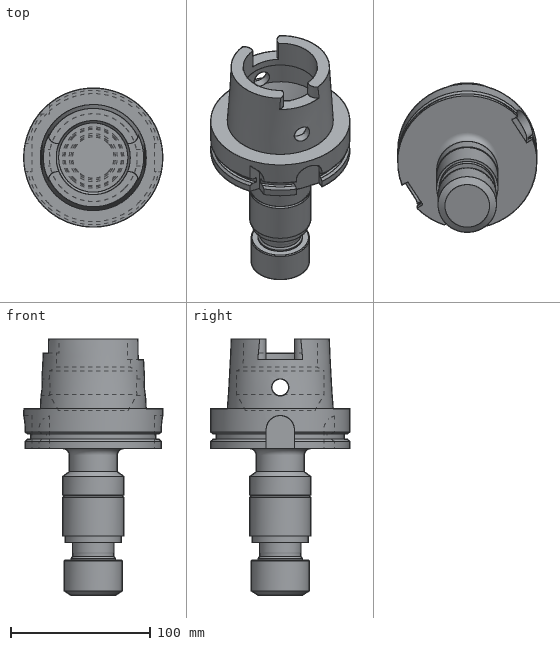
import cadquery as cq

total_height = 183.9
flange_top = 133.9
flange_bottom = 105.2
flange_radius = 99.9 / 2

shank_top_radius = 35.3
shank_base_radius = 38.0

groove_floor_radius = 46.0
groove_shoulder_radius = 48.2
groove_upper_edge = 117.0
groove_top = 115.9
groove_bottom = 112.0
groove_lower_edge = 110.3

neck_radius = 34.5 / 2
neck_fillet = 4.8
collar_radius = 44.0 / 2
collar_cone_top = 88.6
collar_cone_bottom = 85.3
collar_groove_radius = 42.0 / 2
collar_groove_height = 71.2
collar_groove_half_width = 1.0
collar_bottom = 42.5
step_radius = 40.5 / 2
step_bottom = 37.7
stem_radius = 30.0 / 2
stem_bottom = 30.5
relief_radius = 29.6 / 2
relief_top = 29.8
relief_bottom = 28.0
rim_radius = 32.0 / 2
rim_top = 26.5
nut_radius = 42.0 / 2
nut_top = 25.4
nut_top_chamfer = 0.7
nut_chamfer_height = 3.1
nut_nose_radius = 16.0

bore_radius = 53.1 / 2
bore_lip_depth = 20.2
chamber_radius = 63.0 / 2
chamber_top_cone_height = 3.0
chamber_floor_cone_height = 11.5
bore_floor_radius = 24.8
bore_floor_depth = 51.5

slot_width = 20.2
drive_slot_depths = {-1: 10.1, 1: 14.9}
drive_corner_radius = 6.6
drive_face_distance = 32.4

cross_hole_diameter = 12.0
cross_hole_height = 149.1

flange_slot_top = 129.0
flange_slot_floor = 44.0
side_slot_floor = 31.5
side_slot_offset = 31.3 + slot_width / 2


def make_body():
    groove_half = collar_groove_half_width
    return (
        cq.Workplane("XZ")
        .moveTo(0, 0)
        .lineTo(nut_nose_radius, 0)
        .lineTo(nut_radius, nut_chamfer_height)
        .lineTo(nut_radius, nut_top - nut_top_chamfer)
        .lineTo(nut_radius - nut_top_chamfer, nut_top)
        .lineTo(rim_radius, nut_top)
        .lineTo(rim_radius, rim_top)
        .lineTo(relief_radius, relief_bottom)
        .lineTo(relief_radius, relief_top)
        .lineTo(stem_radius, stem_bottom)
        .lineTo(stem_radius, step_bottom)
        .lineTo(step_radius, step_bottom)
        .lineTo(step_radius, collar_bottom)
        .lineTo(collar_radius, collar_bottom)
        .lineTo(collar_radius, collar_groove_height - groove_half)
        .lineTo(collar_groove_radius, collar_groove_height)
        .lineTo(collar_radius, collar_groove_height + groove_half)
        .lineTo(collar_radius, collar_cone_bottom)
        .lineTo(neck_radius, collar_cone_top)
        .lineTo(neck_radius, flange_bottom - neck_fillet)
        .radiusArc((neck_radius + neck_fillet, flange_bottom), neck_fillet)
        .lineTo(flange_radius, flange_bottom)
        .lineTo(flange_radius, groove_lower_edge)
        .lineTo(groove_shoulder_radius, groove_bottom)
        .lineTo(groove_floor_radius, groove_bottom)
        .lineTo(groove_floor_radius, groove_top)
        .lineTo(groove_shoulder_radius, groove_top)
        .lineTo(flange_radius, groove_upper_edge)
        .lineTo(flange_radius, flange_top)
        .lineTo(shank_base_radius, flange_top)
        .lineTo(shank_top_radius, total_height)
        .lineTo(0, total_height)
        .close()
        .revolve(360, (0, 0, 0), (0, 1, 0))
    )


def make_bore():
    lip_height = total_height - bore_lip_depth
    floor_height = total_height - bore_floor_depth
    return (
        cq.Workplane("XZ")
        .moveTo(0, total_height)
        .lineTo(bore_radius, total_height)
        .lineTo(bore_radius, lip_height)
        .lineTo(chamber_radius, lip_height - chamber_top_cone_height)
        .lineTo(chamber_radius, floor_height + chamber_floor_cone_height)
        .lineTo(bore_floor_radius, floor_height)
        .lineTo(0, floor_height)
        .close()
        .revolve(360, (0, 0, 0), (0, 1, 0))
    )


def make_drive_slot(side):
    """Slot on one X side (-1 or 1) that opens with rounded corners to a flat outer face."""
    depth = drive_slot_depths[side]
    half = slot_width / 2
    reach = flange_radius
    arc_start = side * (drive_face_distance - drive_corner_radius)
    face = side * drive_face_distance
    corner = half + drive_corner_radius
    bulge = side * drive_corner_radius
    return (
        cq.Workplane("XY", origin=(0, 0, total_height - depth))
        .moveTo(0, -half)
        .lineTo(arc_start, -half)
        .radiusArc((face, -corner), bulge)
        .lineTo(face, -reach)
        .lineTo(side * reach, -reach)
        .lineTo(side * reach, reach)
        .lineTo(face, reach)
        .lineTo(face, corner)
        .radiusArc((arc_start, half), bulge)
        .lineTo(0, half)
        .close()
        .extrude(depth)
    )


def make_flange_slot(side, floor_distance, offset):
    """Round-topped slot cut along X from the flange rim to a flat floor, open at the bottom."""
    half = slot_width / 2
    shoulder = flange_slot_top - half
    return (
        cq.Workplane("YZ", origin=(side * floor_distance, 0, 0))
        .moveTo(offset - half, flange_bottom)
        .lineTo(offset - half, shoulder)
        .threePointArc((offset, flange_slot_top), (offset + half, shoulder))
        .lineTo(offset + half, flange_bottom)
        .close()
        .extrude(side * flange_radius)
    )


result = make_body().cut(make_bore())

for side in (-1, 1):
    result = result.cut(make_drive_slot(side))
    result = result.cut(make_flange_slot(side, flange_slot_floor, 0))

result = result.cut(make_flange_slot(-1, side_slot_floor, side_slot_offset))

cross_hole = (
    cq.Workplane("YZ", origin=(0, 0, cross_hole_height))
    .circle(cross_hole_diameter / 2)
    .extrude(flange_radius, both=True)
)
result = result.cut(cross_hole)